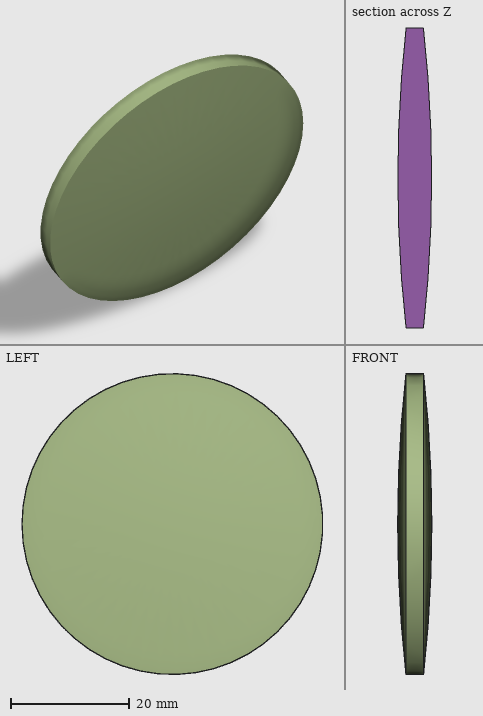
import cadquery as cq

diameter = 50.8
center_thickness = 5.8
edge_thickness = 3.0

radius = diameter / 2
half_center = center_thickness / 2
half_edge = edge_thickness / 2

sag = half_center - half_edge
sphere_radius = (radius**2 + sag**2) / (2 * sag)
mid_height = radius / 2
mid_x = half_center - sphere_radius + (sphere_radius**2 - mid_height**2) ** 0.5

profile = (
    cq.Workplane("XY")
    .moveTo(-half_center, 0)
    .threePointArc((-mid_x, mid_height), (-half_edge, radius))
    .lineTo(half_edge, radius)
    .threePointArc((mid_x, mid_height), (half_center, 0))
    .close()
)

result = profile.revolve(360, (0, 0, 0), (1, 0, 0))